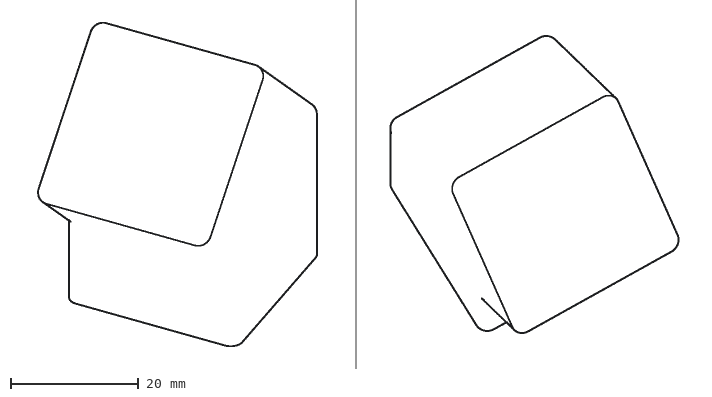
import cadquery as cq
import math

bar_width = 30.0
bend_angle = math.radians(45)
edge_radius = 2.0

inner_arm = bar_width / 2
outer_arm = inner_arm + bar_width * math.tan(bend_angle / 2)

back = bar_width / 2
front = -bar_width / 2
arm_forward = math.sin(bend_angle)
arm_up = math.cos(bend_angle)

inner_corner = (front, inner_arm)
outer_corner = (back, outer_arm)
arm_end_inner = (front - inner_arm * arm_forward, inner_arm + inner_arm * arm_up)
arm_end_outer = (back - outer_arm * arm_forward, outer_arm + outer_arm * arm_up)

bent_bar = (
    cq.Workplane("YZ")
    .polyline([
        (front, 0),
        (back, 0),
        outer_corner,
        arm_end_outer,
        arm_end_inner,
        inner_corner,
    ])
    .close()
    .extrude(bar_width / 2, both=True)
)


def round_bend(body, corner):
    """Round the edge that runs across the bar at one corner of the bend."""
    y, z = corner
    edge = body.edges(cq.selectors.NearestToPointSelector((0, y, z)))
    return edge.fillet(edge_radius)


bent_bar = round_bend(bent_bar, inner_corner)


def long_edges(body):
    """Select the edges along the bar, leaving both flat ends sharp."""
    arm_end = cq.Vector(0, -arm_forward, arm_up)
    end_edges = body.faces("<Z").edges().vals()
    end_edges += body.faces(cq.selectors.DirectionMinMaxSelector(arm_end)).edges().vals()
    side_edges = body.faces("<X or >X").edges().vals()
    return [e for e in side_edges if not any(e.isSame(end) for end in end_edges)]


outer_bend = bent_bar.edges(cq.selectors.NearestToPointSelector((0, *outer_corner))).vals()
result = bent_bar.newObject(long_edges(bent_bar) + outer_bend).fillet(edge_radius)